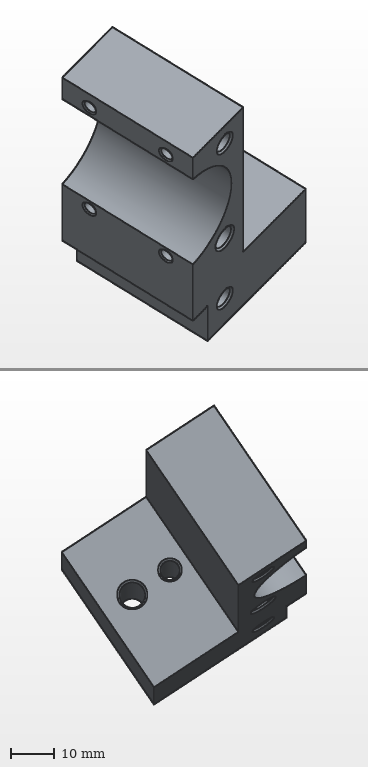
import cadquery as cq
import math

width = 38.5
base_depth = 42.5
height = 74.0
base_height = 20.0
upright_depth = 18.95

step_depth = 5.5
step_height = 13.0

saddle_radius = 16.0
saddle_depth = 14.5
saddle_z = 50.0
saddle_half_opening = math.sqrt(saddle_radius**2 - (saddle_radius - saddle_depth) ** 2)

side_hole_y = 12.0
large_diameter = 6.0
large_chamfer = 0.5
upper_side_hole = (67.5, 5.0, 0.5)
middle_side_hole = (32.0, large_diameter, large_chamfer)
lower_side_hole = (9.5, 5.0, 0.5)

base_hole_x = 1.8
rear_base_hole = (34.5, large_diameter, large_chamfer)
front_base_hole = (24.0, 4.5, 0.5)

clamp_diameter = 3.3
clamp_chamfer = 0.4
clamp_spacing = 22.5
clamp_heights = (69.0, 31.0)


def make_body():
    """Side profile extruded symmetrically across the width."""
    profile = (
        cq.Workplane("YZ")
        .moveTo(step_depth, 0)
        .lineTo(base_depth, 0)
        .lineTo(base_depth, base_height)
        .lineTo(upright_depth, base_height)
        .lineTo(upright_depth, height)
        .lineTo(0, height)
        .lineTo(0, saddle_z + saddle_half_opening)
        .threePointArc((saddle_depth, saddle_z), (0, saddle_z - saddle_half_opening))
        .lineTo(0, step_height)
        .lineTo(step_depth, step_height)
        .close()
    )
    return profile.extrude(width / 2, both=True)


def hole_cutter(start, direction, length, diameter, chamfer, both_ends):
    """Solid of a drilled hole with a 45 degree chamfer at its start, or at both ends."""
    origin = cq.Vector(*start)
    axis = cq.Vector(*direction)
    radius = diameter / 2
    mouth_radius = radius + chamfer
    cutter = cq.Solid.makeCylinder(radius, length, origin, axis)
    cutter = cutter.fuse(cq.Solid.makeCone(mouth_radius, radius, chamfer, origin, axis))
    if both_ends:
        end = origin + axis * length
        cutter = cutter.fuse(cq.Solid.makeCone(mouth_radius, radius, chamfer, end, axis * -1))
    return cutter


result = make_body()

for z, diameter, chamfer in (upper_side_hole, middle_side_hole, lower_side_hole):
    start = (-width / 2, side_hole_y, z)
    result = result.cut(hole_cutter(start, (1, 0, 0), width, diameter, chamfer, both_ends=True))

for y, diameter, chamfer in (rear_base_hole, front_base_hole):
    start = (base_hole_x, y, base_height)
    result = result.cut(hole_cutter(start, (0, 0, -1), base_height, diameter, chamfer, both_ends=True))

for z in clamp_heights:
    for x in (-clamp_spacing / 2, clamp_spacing / 2):
        start = (x, 0, z)
        result = result.cut(
            hole_cutter(start, (0, 1, 0), side_hole_y, clamp_diameter, clamp_chamfer, both_ends=False)
        )